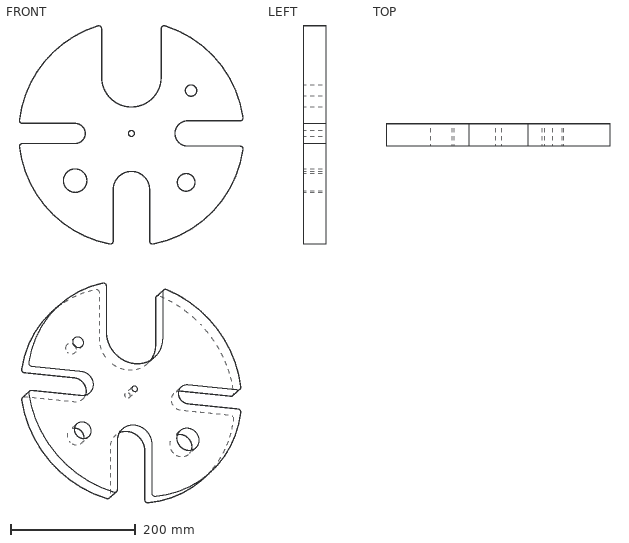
import cadquery as cq
import math

disc_radius = 180.8
thickness = 36.2
corner_radius = 5.0

slot_end_distance = 90.0
slots = [(0, 40.0), (90, 95.0), (180, 32.0), (270, 58.0)]

hole_circle_radius = 117.5
holes = [(35.7, 18.0), (220, 37.3), (318.2, 28.0)]
center_hole_diameter = 9.5


def slot_cutter(direction, width):
    """Slot running from its round end out past the rim."""
    straight = (
        cq.Workplane("XZ")
        .center(slot_end_distance + disc_radius / 2, 0)
        .rect(disc_radius, width)
        .extrude(thickness)
    )
    round_end = (
        cq.Workplane("XZ")
        .center(slot_end_distance, 0)
        .circle(width / 2)
        .extrude(thickness)
    )
    return straight.union(round_end).rotate((0, 0, 0), (0, -1, 0), direction)


def hole_cutter(direction, distance, diameter):
    angle = math.radians(direction)
    return (
        cq.Workplane("XZ")
        .center(distance * math.cos(angle), distance * math.sin(angle))
        .circle(diameter / 2)
        .extrude(thickness)
    )


def is_slot_mouth_corner(edge):
    """True for the straight edges where slot walls meet the rim."""
    middle = edge.Center()
    return math.isclose(math.hypot(middle.x, middle.z), disc_radius, abs_tol=0.05)


body = cq.Workplane("XZ").circle(disc_radius).extrude(thickness)
for direction, width in slots:
    body = body.cut(slot_cutter(direction, width))

mouth_corners = [edge for edge in body.edges("|Y").vals() if is_slot_mouth_corner(edge)]
body = body.newObject(mouth_corners).fillet(corner_radius)

for direction, diameter in holes:
    body = body.cut(hole_cutter(direction, hole_circle_radius, diameter))
body = body.cut(hole_cutter(0, 0, center_hole_diameter))

result = body